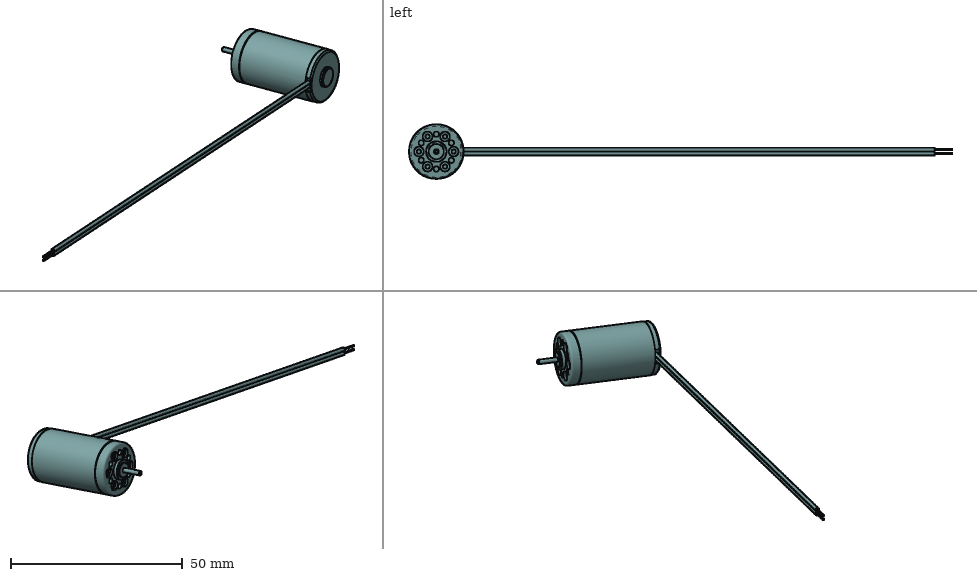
import cadquery as cq

shaft_dia = 1.5
shaft_chamfer = 0.3
length = 36.5
case_dia = 16.0
case_front = 7.7
case_rear = 35.5
case_rounding = 0.6

boss_dia = 6.0
boss_front = 6.6
collar_dia = 4.5
collar_front = 6.2

groove_x = 10.7
groove_width = 0.2
groove_depth = 0.08

hole_circle_dia = 10.1
holes_per_kind = 6
half_step = 180 / holes_per_kind
hole_depth = 2.4
plain_dia = 1.6
pilot_dia = 1.3
counterbore_dia = 2.8
counterbore_depth = 0.8

cap_front = 33.7
cap_dia = 15.8
cap_chamfer = 0.5
rear_boss_dia = 6.0
rear_boss_chamfer = 0.3
window_width = 4.5
window_length = 1.6
window_depth = 1.0

overall_y = 158.0
wire_dia = 1.2
wire_pitch = 1.17
wire_x = 34.1
strip_length = 5.0
conductor_dia = 0.5
wire_start_y = -4.7
wire_end_y = case_dia / 2 - overall_y


def rod(start_x, end_x, dia):
    """Cylinder on the motor axis from start_x to end_x."""
    return cq.Workplane("YZ", origin=(start_x, 0, 0)).circle(dia / 2).extrude(end_x - start_x)


def cable(z, end_y, dia):
    """Straight round strand at height z, running from inside the cap to end_y."""
    base = cq.Workplane("XZ", origin=(wire_x, wire_start_y, z))
    return base.circle(dia / 2).extrude(wire_start_y - end_y)


def hole_ring(dia, depth, start_angle):
    """Ring of cylinders reaching from the front face into the case."""
    face = cq.Workplane("YZ", origin=(case_front, 0, 0))
    ring = face.polarArray(hole_circle_dia / 2, start_angle, 360, holes_per_kind)
    return ring.circle(dia / 2).extrude(depth)


case = rod(case_front, cap_front, case_dia).faces("<X").edges().fillet(case_rounding)
groove_rear = groove_x + groove_width
groove_floor = rod(groove_x, groove_rear, case_dia - 2 * groove_depth)
case = case.cut(rod(groove_x, groove_rear, case_dia).cut(groove_floor))

case = case.cut(hole_ring(pilot_dia, hole_depth, 0))
case = case.cut(hole_ring(counterbore_dia, counterbore_depth, 0))
case = case.cut(hole_ring(plain_dia, hole_depth, half_step))

shaft = rod(0, case_front, shaft_dia).faces("<X").chamfer(shaft_chamfer)
front_boss = rod(boss_front, case_front, boss_dia).union(rod(collar_front, boss_front, collar_dia))

cap = rod(cap_front, case_rear, cap_dia).faces(">X").chamfer(cap_chamfer)
window = cq.Workplane("XY").box(window_length, window_depth, window_width, centered=(False, False, True))
cap = cap.cut(window.translate((cap_front, -cap_dia / 2, 0)))
rear_boss = rod(case_rear, length, rear_boss_dia).faces(">X").chamfer(rear_boss_chamfer)

result = case.union(shaft).union(front_boss).union(cap).union(rear_boss)

for side in (-1, 1):
    z = side * wire_pitch / 2
    result = result.union(cable(z, wire_end_y + strip_length, wire_dia))
    result = result.union(cable(z, wire_end_y, conductor_dia))